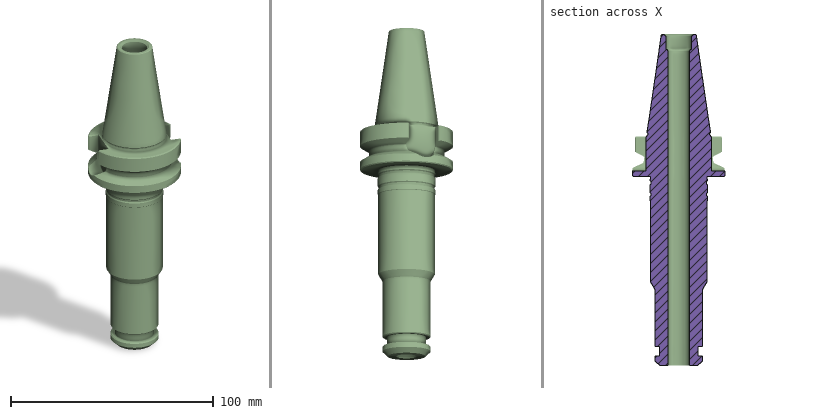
import cadquery as cq
import math

total_length = 163.9
taper_length = 48.5
gauge_diameter = 31.8
taper_ratio = 7 / 24
taper_rim_chamfer = 0.3
gauge_z = total_length - taper_length
taper_tip_radius = gauge_diameter / 2 - taper_ratio * taper_length / 2

neck_height = 2.0
neck_depth = 0.5
neck_straight_height = 0.5
neck_flare_diameter = 32.3
neck_radius = gauge_diameter / 2 - neck_depth
neck_top = gauge_z - neck_depth
neck_bottom = neck_top - neck_straight_height

flange_diameter = 46.0
flange_radius = flange_diameter / 2
flange_top = gauge_z - neck_height
flange_bottom = 93.6
flange_edge_chamfer = 0.5
v_groove_diameter = 37.4
v_groove_top = 103.3
v_groove_bottom = 100.3
v_groove_fillet = 0.5
v_groove_wall_angle = 30
v_groove_rise = (flange_diameter - v_groove_diameter) / 2 * math.tan(math.radians(v_groove_wall_angle))

slot_width = 16.0
slot_floor_offset = 16.2
slot_end_z = 96.4
slot_floor_fillet = 0.5
slot_edge_chamfer = 0.5

shank_diameter = 28.0
collar_diameter = 28.5
collar_top = 92.5
collar_bottom = 81.6
collar_step = (collar_diameter - shank_diameter) / 2
collar_groove_tops = [91.6, 85.7]
collar_groove_width = 2.0
collar_groove_depth = 0.5
shoulder_top = 41.3
shoulder_bottom = 37.9

stem_diameter = 24.0
snap_groove_diameter = 19.5
snap_groove_top = 9.5
snap_groove_bottom = 5.0
snap_groove_chamfer = 0.5
tip_chamfer_height = 2.5
tip_diameter = 18.7

bore_diameter = 10.2
counterbore_diameter = 12.5
counterbore_depth = 7.0
mouth_diameter = 14.5
mouth_depth = 0.8


def revolve_outline(outline):
    """Spin a closed (radius, z) outline about the Z axis."""
    return cq.Workplane("XZ").polyline(outline).close().revolve(360, (0, 0), (0, 1))


def make_holder_body():
    """Taper, neck, flange, shank and stem as one solid of revolution."""
    shank_r = shank_diameter / 2
    collar_r = collar_diameter / 2
    stem_r = stem_diameter / 2
    snap_r = snap_groove_diameter / 2
    snap_edge_r = stem_r - snap_groove_chamfer
    return revolve_outline([
        (0, total_length),
        (taper_tip_radius - taper_rim_chamfer, total_length),
        (taper_tip_radius, total_length - taper_rim_chamfer),
        (gauge_diameter / 2, gauge_z),
        (neck_radius, neck_top),
        (neck_radius, neck_bottom),
        (neck_flare_diameter / 2, flange_top),
        (flange_radius - flange_edge_chamfer, flange_top),
        (flange_radius, flange_top - flange_edge_chamfer),
        (flange_radius, flange_bottom + flange_edge_chamfer),
        (flange_radius - flange_edge_chamfer, flange_bottom),
        (shank_r, flange_bottom),
        (shank_r, collar_top),
        (collar_r, collar_top - collar_step),
        (collar_r, collar_bottom),
        (shank_r, collar_bottom - collar_step),
        (shank_r, shoulder_top),
        (stem_r, shoulder_bottom),
        (stem_r, snap_groove_top + snap_groove_chamfer),
        (snap_edge_r, snap_groove_top),
        (snap_r, snap_groove_top),
        (snap_r, snap_groove_bottom),
        (snap_edge_r, snap_groove_bottom),
        (stem_r, snap_groove_bottom - snap_groove_chamfer),
        (stem_r, tip_chamfer_height),
        (tip_diameter / 2, 0),
        (0, 0),
    ])


def make_v_groove():
    """Ring for the flange V groove, rounded at both floor corners."""
    root_r = v_groove_diameter / 2
    ring = revolve_outline([
        (root_r, v_groove_bottom),
        (flange_radius, v_groove_bottom - v_groove_rise),
        (flange_radius, v_groove_top + v_groove_rise),
        (root_r, v_groove_top),
    ])
    floor_corners = ring.edges(cq.selectors.RadiusNthSelector(0))
    return floor_corners.fillet(v_groove_fillet)


def make_collar_groove(top):
    """Shallow ring groove with 45 degree flanks, starting at the given height."""
    bottom = top - collar_groove_width
    outer_r = collar_diameter / 2
    root_r = outer_r - collar_groove_depth
    return revolve_outline([
        (outer_r, top),
        (root_r, top - collar_groove_depth),
        (root_r, bottom + collar_groove_depth),
        (outer_r, bottom),
    ])


def make_slot_pocket():
    """Round-ended slot on the -Y side, open at the top, with a filleted floor."""
    half = slot_width / 2
    arc_center_z = slot_end_z + half
    open_end_z = flange_top + half
    pocket = (
        cq.Workplane("XZ", origin=(0, -slot_floor_offset, 0))
        .moveTo(-half, open_end_z)
        .lineTo(-half, arc_center_z)
        .threePointArc((0, slot_end_z), (half, arc_center_z))
        .lineTo(half, open_end_z)
        .close()
        .extrude(flange_radius)
    )
    return pocket.faces(">Y").edges("not >Z").fillet(slot_floor_fillet)


def make_slot_top_chamfer():
    """Wedge that breaks the edges between the slot walls and the flange top."""
    half = slot_width / 2
    wide_half = half + slot_edge_chamfer
    return (
        cq.Workplane("XZ", origin=(0, -slot_floor_offset, 0))
        .moveTo(-half, flange_top - slot_edge_chamfer)
        .lineTo(half, flange_top - slot_edge_chamfer)
        .lineTo(wide_half, flange_top)
        .lineTo(-wide_half, flange_top)
        .close()
        .extrude(flange_radius)
    )


def make_slot_rim_chamfer():
    """Wedge that breaks the edges between the slot walls and the upper rim."""
    half = slot_width / 2
    wide_half = half + slot_edge_chamfer
    rim_y = -math.sqrt(flange_radius**2 - wide_half**2)
    outside_y = -flange_radius
    outside_half = wide_half + rim_y - outside_y
    return (
        cq.Workplane("XY", origin=(0, 0, v_groove_top))
        .moveTo(-half, rim_y + slot_edge_chamfer)
        .lineTo(half, rim_y + slot_edge_chamfer)
        .lineTo(outside_half, outside_y)
        .lineTo(-outside_half, outside_y)
        .close()
        .extrude(flange_top - v_groove_top)
    )


def make_bore():
    """Through hole, coned out to a short counterbore with a chamfered mouth."""
    bore_r = bore_diameter / 2
    counterbore_r = counterbore_diameter / 2
    counterbore_z = total_length - counterbore_depth
    return revolve_outline([
        (0, 0),
        (bore_r, 0),
        (bore_r, counterbore_z - (counterbore_r - bore_r)),
        (counterbore_r, counterbore_z),
        (counterbore_r, total_length - mouth_depth),
        (mouth_diameter / 2, total_length),
        (0, total_length),
    ])


result = make_holder_body().cut(make_v_groove())
for groove_top in collar_groove_tops:
    result = result.cut(make_collar_groove(groove_top))
for slot_angle in (0, 180):
    for cutter in (make_slot_pocket(), make_slot_top_chamfer(), make_slot_rim_chamfer()):
        result = result.cut(cutter.rotate((0, 0, 0), (0, 0, 1), slot_angle))
result = result.cut(make_bore())